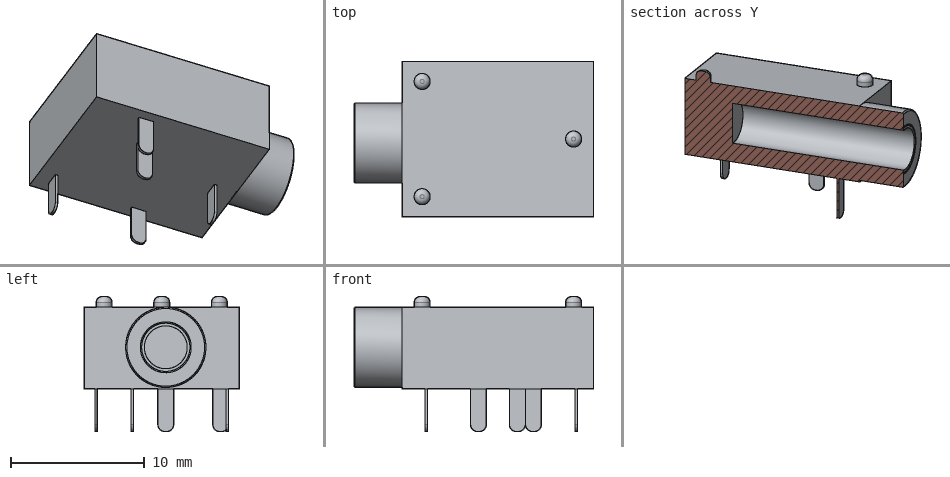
import cadquery as cq


BODY_LENGTH = 14.3
BODY_WIDTH = 11.6
BODY_HEIGHT = 6.1
BODY_CENTER_Y = 0.3

BARREL_DIAMETER = 6.0
BARREL_LENGTH = 3.6
BARREL_AXIS_Z = BODY_HEIGHT - BARREL_DIAMETER / 2
BARREL_EDGE_CHAMFER = 0.1

SLEEVE_OUTER_DIAMETER = 3.6
BORE_DIAMETER = 3.2
BORE_DEPTH = 14.0
GROOVE_DEPTH = 0.1

PEG_DIAMETER = 1.2
PEG_HEIGHT = 0.8
PEG_ROUNDING = 0.45
FRONT_PEG_X = 1.5
REAR_PEG_X = 12.8
FRONT_PEG_OFFSET_Y = 4.3
PEG_POSITIONS = [
    (FRONT_PEG_X, BODY_CENTER_Y - FRONT_PEG_OFFSET_Y),
    (FRONT_PEG_X, BODY_CENTER_Y + FRONT_PEG_OFFSET_Y),
    (REAR_PEG_X, BODY_CENTER_Y),
]

PIN_WIDTH = 1.2
PIN_THICKNESS = 0.2
PIN_LENGTH = 3.2
PIN_TIP_ROUNDING = 0.55
PINS_ACROSS_Y = [(1.8, 0.0), (13.0, -4.1)]
PINS_ALONG_X = [(5.7, -4.6), (8.6, 2.5), (9.8, 5.2)]


def make_body():
    return cq.Workplane("XY", origin=(0, BODY_CENTER_Y, 0)).box(
        BODY_LENGTH, BODY_WIDTH, BODY_HEIGHT, centered=(False, True, False)
    )


def cylinder_along_x(diameter, start_x, length):
    """Cylinder on the socket axis, running toward +X from start_x."""
    return (
        cq.Workplane("YZ", origin=(start_x, 0, BARREL_AXIS_Z))
        .circle(diameter / 2)
        .extrude(length)
    )


def make_barrel():
    barrel = cylinder_along_x(BARREL_DIAMETER, -BARREL_LENGTH, BARREL_LENGTH)
    return barrel.faces("<X").chamfer(BARREL_EDGE_CHAMFER)


def make_bore():
    return cylinder_along_x(BORE_DIAMETER, -BARREL_LENGTH, BORE_DEPTH)


def make_sleeve_groove():
    """Ring groove around the sleeve: straight inner wall, 45 degree outer wall."""
    sleeve_radius = SLEEVE_OUTER_DIAMETER / 2
    front_x = -BARREL_LENGTH
    return (
        cq.Workplane("XY", origin=(0, 0, BARREL_AXIS_Z))
        .moveTo(front_x, sleeve_radius)
        .lineTo(front_x, sleeve_radius + GROOVE_DEPTH)
        .lineTo(front_x + GROOVE_DEPTH, sleeve_radius)
        .close()
        .revolve(360, (0, 0, 0), (1, 0, 0))
    )


def make_peg(x, y):
    peg = cq.Workplane("XY", origin=(x, y, BODY_HEIGHT)).circle(PEG_DIAMETER / 2).extrude(PEG_HEIGHT)
    return peg.faces(">Z").edges().fillet(PEG_ROUNDING)


def make_pin(x, y, turned):
    """Pin whose width lies along X, or along Y when turned."""
    size_x = PIN_THICKNESS if turned else PIN_WIDTH
    size_y = PIN_WIDTH if turned else PIN_THICKNESS
    tip_edges = "|X" if turned else "|Y"
    return (
        cq.Workplane("XY", origin=(x, y, 0))
        .rect(size_x, size_y)
        .extrude(-PIN_LENGTH)
        .faces("<Z")
        .edges(tip_edges)
        .fillet(PIN_TIP_ROUNDING)
    )


result = make_body().union(make_barrel()).cut(make_bore()).cut(make_sleeve_groove())
for peg_x, peg_y in PEG_POSITIONS:
    result = result.union(make_peg(peg_x, peg_y))
for pin_x, pin_y in PINS_ALONG_X:
    result = result.union(make_pin(pin_x, pin_y, turned=False))
for pin_x, pin_y in PINS_ACROSS_Y:
    result = result.union(make_pin(pin_x, pin_y, turned=True))